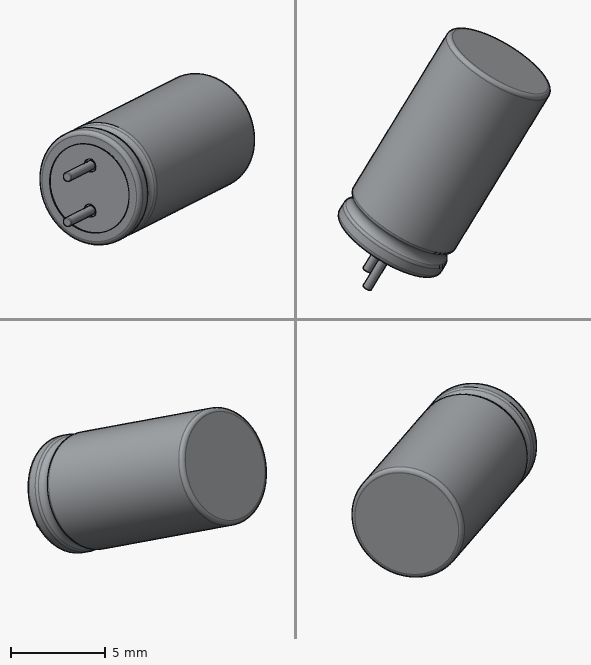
import cadquery as cq
import math

can_radius = 3.153
can_length = 12.0
edge_radius = 0.25

groove_center = 1.22
groove_half_width = 0.51
groove_depth = 0.23
groove_arc_share = 2 / 3

seal_radius = 2.45
seal_recess = 0.07
well_radius = 0.36
well_depth = 0.1
lead_radius = 0.25
lead_length = 2.3
lead_pitch = 2.5
lead_edge = 0.05


def groove_profile():
    """Half section of the groove cutter as (radius, Y) points."""
    angle = 2 * math.atan(groove_depth / groove_half_width)
    radius_sum = groove_half_width / math.sin(angle)
    concave_radius = groove_arc_share * radius_sum
    blend_radius = radius_sum - concave_radius
    floor_radius = can_radius - groove_depth

    def concave_point(turn):
        return (floor_radius + concave_radius * (1 - math.cos(turn)),
                concave_radius * math.sin(turn))

    def blend_point(turn):
        return (can_radius - blend_radius * (1 - math.cos(turn)),
                groove_half_width - blend_radius * math.sin(turn))

    def at(point, side):
        return point[0], groove_center + side * point[1]

    tangent = concave_point(angle)
    shoulder = blend_point(angle / 2)
    edge = (can_radius, groove_half_width)
    outside_radius = can_radius + groove_depth
    return (
        cq.Workplane("XY")
        .moveTo(*at(edge, -1))
        .threePointArc(at(shoulder, -1), at(tangent, -1))
        .threePointArc((floor_radius, groove_center), at(tangent, 1))
        .threePointArc(at(shoulder, 1), at(edge, 1))
        .lineTo(outside_radius, groove_center + groove_half_width)
        .lineTo(outside_radius, groove_center - groove_half_width)
        .close()
    )


def cylinder_y(radius, start, end, z=0):
    """Cylinder parallel to Y between two Y positions."""
    return cq.Workplane(cq.Solid.makeCylinder(
        radius, end - start, cq.Vector(0, start, z), cq.Vector(0, 1, 0)))


def make_can():
    can = cylinder_y(can_radius, 0, can_length).faces("<Y or >Y").edges().fillet(edge_radius)
    groove = groove_profile().revolve(360, (0, 0, 0), (0, 1, 0))
    return can.cut(groove).cut(cylinder_y(seal_radius, 0, seal_recess))


def make_well(z):
    """Clearance well sunk into the seal around a lead."""
    return cylinder_y(well_radius, 0, seal_recess + well_depth, z)


def make_lead(z):
    """Lead with a rounded tip, rooted in the floor of its well."""
    lead = cylinder_y(lead_radius, -lead_length, seal_recess + well_depth, z)
    return lead.faces("<Y").edges().fillet(lead_edge)


result = make_can()
for side in (-1, 1):
    lead_z = side * lead_pitch / 2
    result = result.cut(make_well(lead_z)).union(make_lead(lead_z))